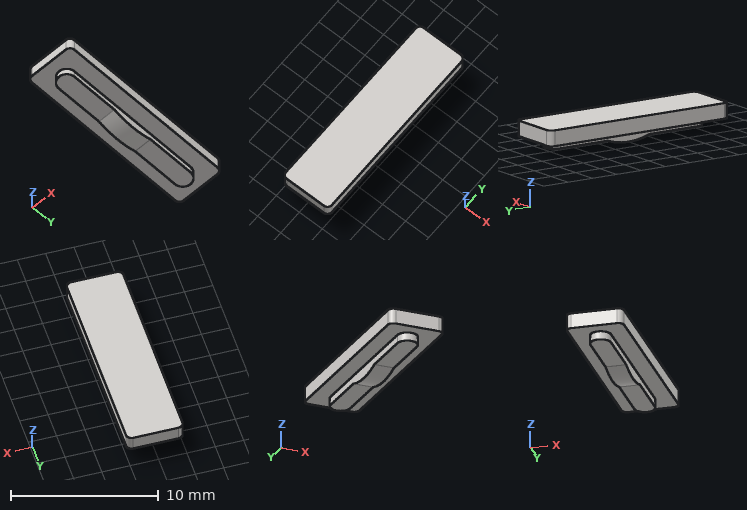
import cadquery as cq

plate_width = 4.0
plate_length = 14.7
plate_thickness = 1.1
plate_corner_radius = 0.4

rib_width = 1.45
rib_length = 12.7
rib_depth = 0.6

total_height = 2.0
bump_chord = 3.5

rib_bottom = -rib_depth
bump_bottom = plate_thickness - total_height


def make_plate():
    """Flat plate with rounded vertical corners, its underside at Z = 0."""
    plate = cq.Workplane("XY").rect(plate_width, plate_length).extrude(plate_thickness)
    return plate.edges("|Z").fillet(plate_corner_radius)


def make_rib():
    """Long slot-shaped rib hanging from the plate along Y."""
    return cq.Workplane("XY").slot2D(rib_length, rib_width, 90).extrude(-rib_depth)


def make_bump():
    """Circular-segment bump running the full width of the rib."""
    return (
        cq.Workplane("YZ")
        .moveTo(-bump_chord / 2, 0)
        .lineTo(-bump_chord / 2, rib_bottom)
        .threePointArc((0, bump_bottom), (bump_chord / 2, rib_bottom))
        .lineTo(bump_chord / 2, 0)
        .close()
        .extrude(rib_width / 2, both=True)
    )


result = make_plate().union(make_rib()).union(make_bump()).clean()